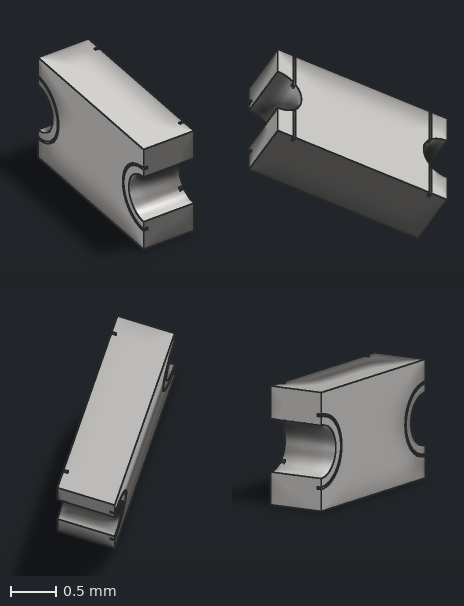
import cadquery as cq

length = 2.15
depth = 0.67
height = 1.35

notch_radius = 0.3

groove_width = 0.025
groove_depth = 0.054
ring_inner_radius = 0.4
back_groove_offset = 0.2

front_y = -depth / 2
back_y = depth / 2


def cylinder_along_y(x, radius, start_y, thickness):
    """Cylinder running in +Y from start_y, centred at mid height."""
    return cq.Workplane(
        cq.Solid.makeCylinder(radius, thickness, cq.Vector(x, start_y, 0), cq.Vector(0, 1, 0))
    )


def end_notch(end_x):
    return cylinder_along_y(end_x, notch_radius, front_y, depth)


def front_ring_groove(end_x):
    """Ring groove around the notch, cut into the front face."""
    outer = cylinder_along_y(end_x, ring_inner_radius + groove_width, front_y, groove_depth)
    inner = cylinder_along_y(end_x, ring_inner_radius, front_y, groove_depth)
    return outer.cut(inner)


def back_groove(side):
    """Straight groove over the full height of the back face."""
    center_x = side * (length / 2 - back_groove_offset - groove_width / 2)
    return (
        cq.Workplane("XY")
        .box(groove_width, groove_depth, height)
        .translate((center_x, back_y - groove_depth / 2, 0))
    )


result = cq.Workplane("XY").box(length, depth, height)
for side in (-1, 1):
    end_x = side * length / 2
    result = result.cut(end_notch(end_x))
    result = result.cut(front_ring_groove(end_x))
    result = result.cut(back_groove(side))